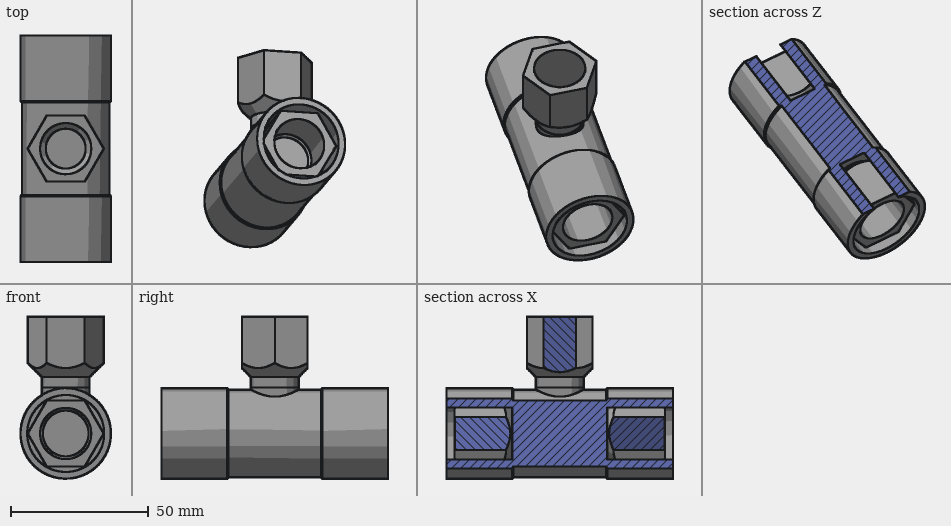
import cadquery as cq

run_length = 82.4
sleeve_diameter = 33.0
barrel_diameter = 32.0
sleeve_length = 23.9
socket_diameter = 28.0
socket_depth = 23.9
stub_height = 16.65

hex_across_corners = 27.7
neck_diameter = 17.5
neck_length = 3.9
bore_diameter = 18.6
port_diameter = 14.5
fitting_top = 42.5
fitting_recess = 3.0

half_run = run_length / 2
sleeve_radius = sleeve_diameter / 2
barrel_radius = barrel_diameter / 2
shoulder = sleeve_radius - barrel_radius
shoulder_start = half_run - sleeve_length
shoulder_end = shoulder_start - shoulder
hex_radius = hex_across_corners / 2
neck_radius = neck_diameter / 2
bore_radius = bore_diameter / 2
port_radius = port_diameter / 2
fitting_length = fitting_top - stub_height
cone_top = neck_length + hex_radius - neck_radius
bore_cone_top = neck_length + bore_radius - port_radius
run_fitting_base = half_run - fitting_recess - fitting_length


def make_fitting():
    """Fitting along +Z, with the end face of its neck on the XY plane."""
    hexagon = cq.Workplane("XY").polygon(6, hex_across_corners).extrude(fitting_length)
    envelope = (
        cq.Workplane("XZ")
        .polyline([
            (0, 0),
            (neck_radius, 0),
            (neck_radius, neck_length),
            (hex_radius, cone_top),
            (hex_radius, fitting_length),
            (0, fitting_length),
        ])
        .close()
        .revolve(360, (0, 0), (0, 1))
    )
    bore = (
        cq.Workplane("XZ")
        .polyline([
            (0, 0),
            (port_radius, 0),
            (port_radius, neck_length),
            (bore_radius, bore_cone_top),
            (bore_radius, fitting_length),
            (0, fitting_length),
        ])
        .close()
        .revolve(360, (0, 0), (0, 1))
    )
    return hexagon.intersect(envelope).cut(bore)


def make_run_fitting(end):
    """Fitting facing -Y (end = -1) or +Y (end = 1), seated in that sleeve."""
    turned = make_fitting().rotate((0, 0, 0), (1, 0, 0), -90 * end)
    return turned.translate((0, end * run_fitting_base, 0))


def make_housing(seated_fittings):
    """Run with stub and end sockets; each fitting sits in a matching recess."""
    body = (
        cq.Workplane("XY")
        .polyline([
            (0, -half_run),
            (sleeve_radius, -half_run),
            (sleeve_radius, -shoulder_start),
            (barrel_radius, -shoulder_end),
            (barrel_radius, shoulder_end),
            (sleeve_radius, shoulder_start),
            (sleeve_radius, half_run),
            (0, half_run),
        ])
        .close()
        .revolve(360, (0, 0), (0, 1))
    )
    stub = cq.Workplane("XY").circle(neck_radius).extrude(stub_height)
    body = body.union(stub)
    socket = cq.Workplane("XZ").circle(socket_diameter / 2).extrude(socket_depth)
    body = body.cut(socket.translate((0, half_run, 0)))
    body = body.cut(socket.translate((0, socket_depth - half_run, 0)))
    for fitting in seated_fittings:
        body = body.cut(fitting)
    return body


run_fittings = [make_run_fitting(end) for end in (-1, 1)]
branch_fitting = make_fitting().translate((0, 0, stub_height))
housing = make_housing(run_fittings)

result = cq.Compound.makeCompound([
    housing.val(),
    branch_fitting.val(),
    *[fitting.val() for fitting in run_fittings],
])